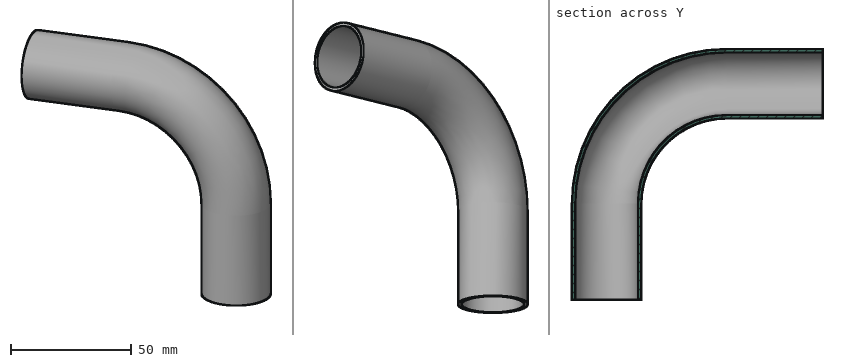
import cadquery as cq

overall_length = 104.5
outer_diameter = 29.0
inner_diameter = 26.0
straight_length = 40.0

bend_radius = overall_length - straight_length - outer_diameter / 2


def centre_line():
    """Path in the XZ plane: along +X, around the bend, then down -Z."""
    return (
        cq.Workplane("XZ")
        .lineTo(straight_length, 0)
        .radiusArc((straight_length + bend_radius, -bend_radius), bend_radius)
        .lineTo(straight_length + bend_radius, -bend_radius - straight_length)
    )


pipe_section = cq.Workplane("YZ").circle(outer_diameter / 2).circle(inner_diameter / 2)

result = pipe_section.sweep(centre_line())